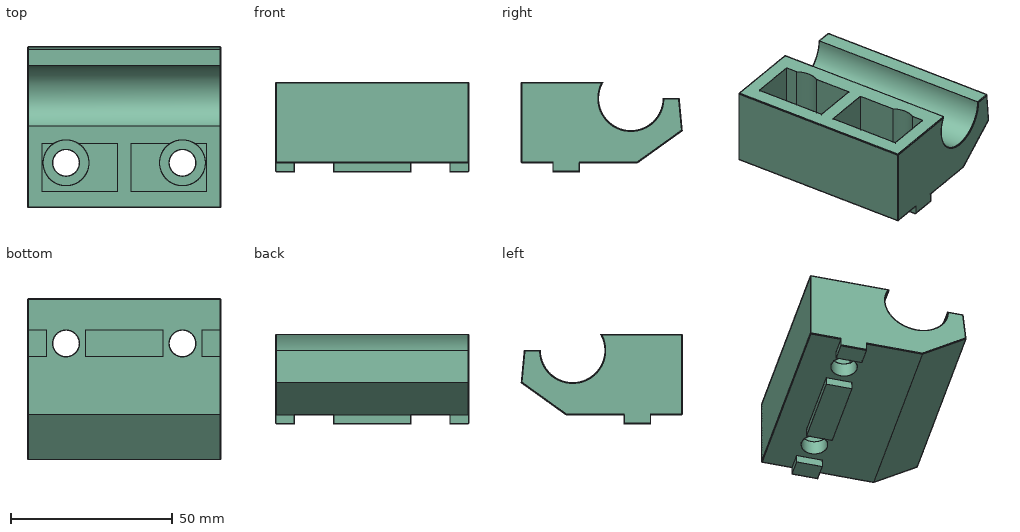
import cadquery as cq
import math

length = 60.0
depth = 50.0
height = 27.8
tab_height = 2.75
edge_chamfer = 0.25

cradle_radius = 10.0
cradle_y = 34.0
lip_z = 22.8
lip_back_y = 49.0
heel_z = 12.8
heel_front_y = 36.0

hole_x = 18.05
hole_y = 13.9
hole_diameter = 8.2
counterbore_diameter = 14.2
counterbore_depth = 19.8
pocket_length = 23.4
pocket_width = 15.0
pocket_depth = 18.0
pocket_front_y = 5.0
pocket_gap = 4.3

tab_width = 8.2
tab_gap = 12.1


def make_block():
    """Extrude the side profile and break its outer edges."""
    opening_rise = height - lip_z
    opening_y = cradle_y - math.sqrt(cradle_radius**2 - opening_rise**2)
    block = (
        cq.Workplane("YZ", origin=(-length / 2, 0, 0))
        .moveTo(0, tab_height)
        .lineTo(heel_front_y, tab_height)
        .lineTo(depth, heel_z)
        .lineTo(lip_back_y, lip_z)
        .lineTo(cradle_y + cradle_radius, lip_z)
        .threePointArc((cradle_y, lip_z - cradle_radius), (opening_y, height))
        .lineTo(0, height)
        .close()
        .extrude(length)
    )
    end_edges = block.faces("<X or >X").edges()
    front_edges = block.faces("<Y").edges("|X")
    return block.newObject(end_edges.vals() + front_edges.vals()).chamfer(edge_chamfer)


def make_tabs():
    """Make a full-length rail, interrupted by a gap under each hole."""
    rail_height = tab_height + edge_chamfer
    rail = cq.Workplane("XY", origin=(0, hole_y, 0)).box(
        length, tab_width, rail_height, centered=(True, True, False)
    )
    gaps = (
        cq.Workplane("XY", origin=(0, hole_y, 0))
        .pushPoints([(-hole_x, 0), (hole_x, 0)])
        .rect(tab_gap, tab_width)
        .extrude(rail_height)
    )
    lower_end_edges = rail.faces("<Z").edges("<X or >X")
    return lower_end_edges.chamfer(edge_chamfer).cut(gaps)


def make_screw_seat(side):
    """Make the cutter for one pocket, counterbore and hole; side is -1 or 1."""
    pocket_x = side * (pocket_gap + pocket_length) / 2
    pocket_y = pocket_front_y + pocket_width / 2
    top = cq.Workplane("XY", origin=(0, 0, height))
    pocket = top.center(pocket_x, pocket_y).rect(pocket_length, pocket_width).extrude(-pocket_depth)
    hole_axis = top.center(side * hole_x, hole_y)
    counterbore = hole_axis.circle(counterbore_diameter / 2).extrude(-counterbore_depth)
    hole = hole_axis.circle(hole_diameter / 2).extrude(-height)
    return pocket.union(counterbore).union(hole)


result = make_block().union(make_tabs())
for side in (-1, 1):
    result = result.cut(make_screw_seat(side))